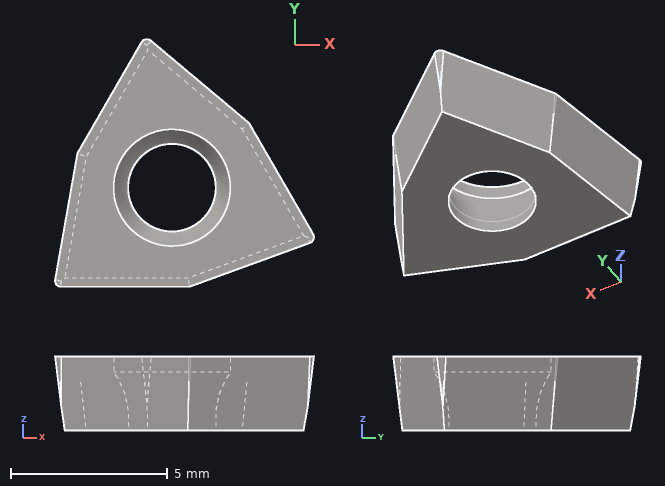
import cadquery as cq
import math

inscribed_diameter = 6.35
thickness = 2.38
clearance_angle = 7.0
nose_angle = 80.0
corner_radius = 0.2
nose_directions = [-20, 100, 220]

mouth_diameter = 3.74
throat_diameter = 2.8
mouth_depth = 0.5
seat_bottom_depth = 1.95

flank_count = 6
corner_spacing = 360 / flank_count
inscribed_radius = inscribed_diameter / 2
obtuse_angle = 2 * (180 - corner_spacing) - nose_angle


def outline_corner(corner_angle, direction):
    """Sharp corner whose two flanks both touch the inscribed circle."""
    distance = inscribed_radius / math.sin(math.radians(corner_angle / 2))
    angle = math.radians(direction)
    return (distance * math.cos(angle), distance * math.sin(angle))


def insert_body():
    """Trigon with rounded corners, tapering down from the top face."""
    corners = []
    for direction in nose_directions:
        corners.append(outline_corner(nose_angle, direction))
        corners.append(outline_corner(obtuse_angle, direction + corner_spacing))
    outline = (
        cq.Sketch()
        .polygon(corners + corners[:1])
        .vertices()
        .fillet(corner_radius)
    )
    return (
        cq.Workplane("XY", origin=(0, 0, thickness))
        .placeSketch(outline)
        .extrude(-thickness, taper=clearance_angle)
    )


def screw_hole():
    """Revolved hole; the convex seat arc runs tangentially into the throat."""
    mouth_radius = mouth_diameter / 2
    throat_radius = throat_diameter / 2
    mouth_z = thickness - mouth_depth
    seat_bottom_z = thickness - seat_bottom_depth
    return (
        cq.Workplane("XZ")
        .lineTo(throat_radius, 0)
        .lineTo(throat_radius, seat_bottom_z)
        .tangentArcPoint((mouth_radius, mouth_z), relative=False)
        .lineTo(mouth_radius, thickness)
        .lineTo(0, thickness)
        .close()
        .revolve(360, (0, 0, 0), (0, 1, 0))
    )


result = insert_body().cut(screw_hole())